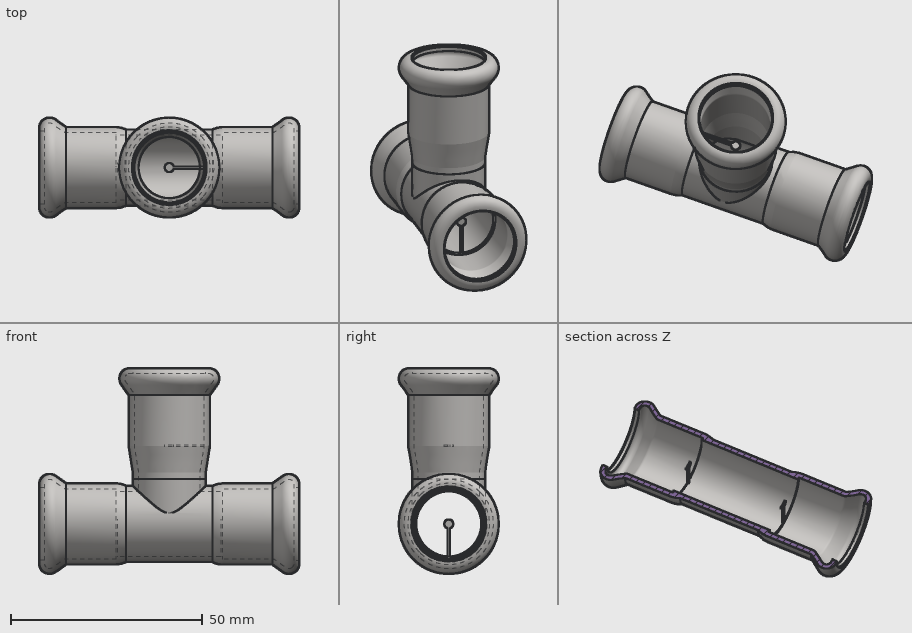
import cadquery as cq
import math

run_length = 68.0
branch_height = 40.7
bead_outer_radius = 26.2 / 2
bead_center_radius = 10.35
bead_wall = 1.4
bead_depth = 7.1
socket_outer_radius = 21.3 / 2
socket_bore_radius = 18.2 / 2
socket_depth = 20.05
groove_fillet = 1.0
lip_radius = 19.0 / 2
lip_chamfer = 0.3

run_outer_radius = 20.0 / 2
run_bore_radius = 17.0 / 2
run_neck_length = 2.65

branch_outer_radius = 19.1 / 2
branch_bore_radius = 16.0 / 2
branch_shoulder = 0.35
branch_taper_end = 13.4
collar_radius = 9.6
collar_height = 11.75

marker_disc_radius = 2.4 / 2
marker_stem_width = 0.7
marker_thickness = 0.4

half_run = run_length / 2
bead_radius = bead_outer_radius - bead_center_radius
groove_radius = bead_radius - bead_wall

foot_axial = bead_depth - bead_radius
foot_radial = socket_outer_radius - bead_center_radius
foot_distance = math.hypot(foot_axial, foot_radial)
tangent_angle = math.atan2(foot_radial, foot_axial) + math.acos(bead_radius / foot_distance)
cone_angle = math.pi / 2 - tangent_angle

groove_foot_depth = (
    bead_radius
    + (groove_radius - (socket_bore_radius - bead_center_radius) * math.sin(tangent_angle))
    / math.cos(tangent_angle)
)


def bead_point(mouth, radius, angle):
    """Point (radius, height) on a circle about the bead centre; angle 0 points away from the mouth."""
    return (
        bead_center_radius + radius * math.sin(angle),
        mouth - bead_radius - radius * math.cos(angle),
    )


def bead_arc(profile, mouth, radius):
    """Arc from the mouth side of the bead round to the start of its cone."""
    middle_angle = (math.pi + tangent_angle) / 2
    return profile.threePointArc(
        bead_point(mouth, radius, middle_angle), bead_point(mouth, radius, tangent_angle)
    )


def port_outside(mouth):
    """Outer profile from the mouth of a port to its socket stop; radius is X, height is Y."""
    profile = cq.Workplane("XZ").moveTo(0, mouth).lineTo(bead_center_radius, mouth)
    profile = bead_arc(profile, mouth, bead_radius)
    return (
        profile.lineTo(socket_outer_radius, mouth - bead_depth)
        .lineTo(socket_outer_radius, mouth - socket_depth)
    )


def port_bore(mouth):
    """Inner profile from the mouth, through the seal groove, to the socket stop."""
    profile = (
        cq.Workplane("XZ").moveTo(0, mouth)
        .lineTo(lip_radius + lip_chamfer, mouth)
        .lineTo(lip_radius, mouth - lip_chamfer)
        .lineTo(lip_radius, mouth - bead_wall)
        .lineTo(bead_center_radius, mouth - bead_wall)
    )
    profile = bead_arc(profile, mouth, groove_radius)

    foot_height = mouth - groove_foot_depth
    tangent_length = groove_fillet * math.tan(cone_angle / 2)
    fillet_center_radius = socket_bore_radius + groove_fillet
    fillet_center_height = foot_height - tangent_length
    fillet_start = (
        socket_bore_radius + tangent_length * math.sin(cone_angle),
        foot_height + tangent_length * math.cos(cone_angle),
    )
    fillet_middle = (
        fillet_center_radius - groove_fillet * math.cos(cone_angle / 2),
        fillet_center_height + groove_fillet * math.sin(cone_angle / 2),
    )
    return (
        profile.lineTo(*fillet_start)
        .threePointArc(fillet_middle, (socket_bore_radius, fillet_center_height))
        .lineTo(socket_bore_radius, mouth - socket_depth)
    )


def revolve_port(profile):
    """Close a profile along the Z axis and revolve it."""
    return profile.close().revolve(360, (0, 0, 0), (0, 1, 0))


def turn_to_run(shape, side):
    """Turn a port built along +Z to point along +X (side 1) or -X (side -1)."""
    return shape.rotate((0, 0, 0), (0, 1, 0), 90 * side)


neck_end = half_run - socket_depth - run_neck_length
run_outside = revolve_port(
    port_outside(half_run)
    .tangentArcPoint((run_outer_radius, neck_end), relative=False)
    .lineTo(run_outer_radius, 0)
    .lineTo(0, 0)
)
run_bore = revolve_port(
    port_bore(half_run)
    .lineTo(run_bore_radius, half_run - socket_depth)
    .lineTo(run_bore_radius, 0)
    .lineTo(0, 0)
)

branch_stop = branch_height - socket_depth
taper_start = branch_stop - branch_shoulder
branch_outside = revolve_port(
    port_outside(branch_height)
    .lineTo(socket_outer_radius, taper_start)
    .lineTo(branch_outer_radius, branch_taper_end)
    .lineTo(branch_outer_radius, collar_height)
    .lineTo(collar_radius, collar_height)
    .lineTo(collar_radius, 0)
    .lineTo(0, 0)
)
branch_bore = revolve_port(
    port_bore(branch_height)
    .lineTo(socket_bore_radius, taper_start)
    .lineTo(branch_bore_radius, branch_taper_end)
    .lineTo(branch_bore_radius, 0)
    .lineTo(0, 0)
)

run_sides = (1, -1)
tee = branch_outside
for side in run_sides:
    tee = tee.union(turn_to_run(run_outside, side))
for side in run_sides:
    tee = tee.cut(turn_to_run(run_bore, side))
tee = tee.cut(branch_bore)


def depth_marker(stop_height, bore_radius):
    """Flat disc on the port axis, held by a stem to the bore on +X, just inside the socket stop."""
    base = cq.Workplane("XY").workplane(offset=stop_height - marker_thickness)
    disc = base.circle(marker_disc_radius).extrude(marker_thickness)
    stem = (
        base.center(bore_radius, 0)
        .rect(2 * bore_radius, marker_stem_width)
        .extrude(marker_thickness)
    )
    bore = base.circle(bore_radius).extrude(marker_thickness)
    return disc.union(stem).intersect(bore)


markers = [depth_marker(branch_stop, socket_bore_radius)]
for side in run_sides:
    upright = depth_marker(half_run - socket_depth, run_bore_radius)
    if side == -1:
        upright = upright.rotate((0, 0, 0), (0, 0, 1), 180)
    markers.append(turn_to_run(upright, side))

result = cq.Compound.makeCompound([tee.val(), *[marker.val() for marker in markers]])